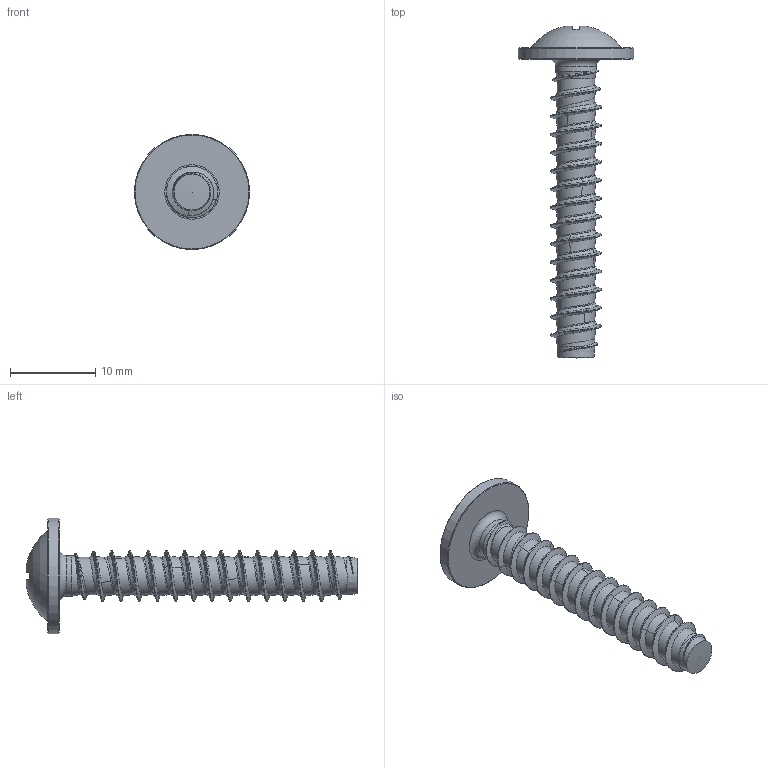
import math

import cadquery as cq


flange_radius = 13.5 / 2
flange_thickness = 1.38
flange_edge_chamfer = 0.08
head_height = 4.0
dome_base_radius = 5.32

wing_width = 0.9
wing_reach = 2.8
wing_reach_bottom = 1.2
recess_depth = 2.5
recess_core_radius = 1.1
recess_core_radius_bottom = 0.7

shank_length = 35.0
neck_radius = 2.4
neck_fillet = 0.8
neck_length = 1.46
neck_taper_length = 0.8
core_radius = 2.2
tip_radius = 2.1
tip_taper_length = 1.3
tip_cone_height = 0.07

pitch = 2.138
crest_radius = 3.0
crest_width = 0.08
lower_root_radius = 2.32
lower_root_offset = -0.25
upper_root_radius = 2.4
upper_root_offset = 0.22
upper_foot_radius = 2.17
upper_foot_offset = 0.66
lower_foot_radius = 2.195
lower_foot_offset = -1.44
buried_radius = 1.9
first_crest_y = -1.33
start_share = 0.64
end_share = 0.2
lead_in_turns = 1.5
run_out_turns = 1.0
first_crest_turn = 0.25
start_turn = 0.25
end_turn = -15.25
segment_count = 20
segment_turns = (start_turn - end_turn) / segment_count
segment_points = 18


def make_head_and_shank():
    """Revolved body: domed flange, filleted neck, tapered core and shallow conical tip."""
    dome_height = head_height - flange_thickness
    dome_radius = (dome_base_radius**2 + dome_height**2) / (2 * dome_height)
    mid_angle = math.asin(dome_base_radius / dome_radius) / 2
    dome_mid = (
        dome_radius * math.sin(mid_angle),
        head_height - dome_radius * (1 - math.cos(mid_angle)),
    )
    fillet_mid_shift = neck_fillet * (1 - math.sqrt(0.5))
    fillet_mid = (neck_radius + fillet_mid_shift, -fillet_mid_shift)
    tip_rim_y = -shank_length + tip_cone_height
    return (
        cq.Workplane("XY")
        .moveTo(0, head_height)
        .threePointArc(dome_mid, (dome_base_radius, flange_thickness))
        .lineTo(flange_radius - flange_edge_chamfer, flange_thickness)
        .lineTo(flange_radius, flange_thickness - flange_edge_chamfer)
        .lineTo(flange_radius, flange_edge_chamfer)
        .lineTo(flange_radius - flange_edge_chamfer, 0)
        .lineTo(neck_radius + neck_fillet, 0)
        .threePointArc(fillet_mid, (neck_radius, -neck_fillet))
        .lineTo(neck_radius, -neck_length)
        .lineTo(core_radius, -neck_length - neck_taper_length)
        .lineTo(core_radius, tip_rim_y + tip_taper_length)
        .lineTo(tip_radius, tip_rim_y)
        .lineTo(0, -shank_length)
        .close()
        .revolve(360, (0, 0, 0), (0, 1, 0))
    )


def make_recess():
    """Cross recess: two crossed wings with sloping ends around a tapered centre."""
    floor_y = head_height - recess_depth
    wing = (
        cq.Workplane("XY")
        .polyline(
            [
                (-wing_reach_bottom, floor_y),
                (wing_reach_bottom, floor_y),
                (wing_reach, head_height),
                (-wing_reach, head_height),
            ]
        )
        .close()
        .extrude(wing_width / 2, both=True)
    )
    centre = (
        cq.Workplane("XY")
        .polyline(
            [
                (0, floor_y),
                (recess_core_radius_bottom, floor_y),
                (recess_core_radius, head_height),
                (0, head_height),
            ]
        )
        .close()
        .revolve(360, (0, 0, 0), (0, 1, 0))
    )
    return wing.union(wing.rotate((0, 0, 0), (0, 1, 0), 90)).union(centre)


def thread_height_share(turn):
    """Share of the full thread height: it grows behind the start and dies out at the tip."""
    lead_in = start_share + (1 - start_share) * (start_turn - turn) / lead_in_turns
    run_out = end_share + (1 - end_share) * (turn - end_turn) / run_out_turns
    return min(1.0, lead_in, run_out)


def thread_point(radius, offset, turn):
    """Place of one corner of the thread profile at a given turn of the right-handed helix.

    Where the thread is low, its tip side also gets shorter, so it stays clear of the tip face.
    """
    share = thread_height_share(turn)
    angle = 2 * math.pi * turn
    rail_radius = buried_radius + (radius - buried_radius) * share
    crest_y = first_crest_y + pitch * (turn - first_crest_turn)
    y = crest_y + (offset * share if offset < 0 else offset)
    return cq.Vector(rail_radius * math.sin(angle), y, rail_radius * math.cos(angle))


def thread_rail(radius, offset, from_turn):
    """One helical edge segment through a corner of the thread profile."""
    turns = [from_turn + segment_turns * index / segment_points for index in range(segment_points + 1)]
    return cq.Edge.makeSpline([thread_point(radius, offset, turn) for turn in turns])


def make_thread():
    """Helical ridge bounded by ruled faces between neighbouring profile corners."""
    profile = [
        (buried_radius, lower_foot_offset),
        (lower_foot_radius, lower_foot_offset),
        (lower_root_radius, lower_root_offset),
        (crest_radius, -crest_width / 2),
        (crest_radius, crest_width / 2),
        (upper_root_radius, upper_root_offset),
        (upper_foot_radius, upper_foot_offset),
        (buried_radius, upper_foot_offset),
    ]
    faces = []
    for index in range(segment_count):
        from_turn = end_turn + index * segment_turns
        rails = [thread_rail(radius, offset, from_turn) for radius, offset in profile]
        for rail, neighbour in zip(rails, rails[1:] + rails[:1]):
            faces.append(cq.Face.makeRuledSurface(rail, neighbour))
    for turn in (start_turn, end_turn):
        corners = [thread_point(radius, offset, turn) for radius, offset in profile]
        faces.append(cq.Face.makeFromWires(cq.Wire.makePolygon(corners, close=True)))
    return cq.Workplane(cq.Solid.makeSolid(cq.Shell.makeShell(faces)))


result = make_head_and_shank().cut(make_recess()).union(make_thread())